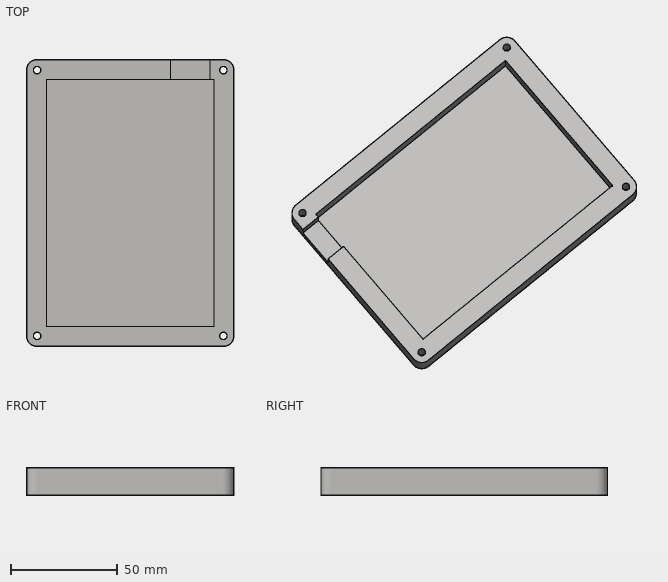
import cadquery as cq

length = 135.2
width = 97.7
height = 13.0
corner_radius = 5.0

wall = 9.5
floor_thickness = 2.0

hole_diameter = 3.4

notch_start = 19.0
notch_end = 37.6
notch_depth = 7.0


def make_body():
    body = cq.Workplane("XY").box(width, length, height, centered=(True, True, False))
    return body.edges("|Z").fillet(corner_radius)


def make_pocket():
    return (
        cq.Workplane("XY", origin=(0, 0, floor_thickness))
        .rect(width - 2 * wall, length - 2 * wall)
        .extrude(height - floor_thickness)
    )


def make_notch():
    notch_width = notch_end - notch_start
    corner = (notch_start, length / 2 - wall, height - notch_depth)
    return cq.Workplane("XY", origin=corner).box(notch_width, wall, notch_depth, centered=False)


def make_screw_holes():
    return (
        cq.Workplane("XY")
        .rect(width - 2 * corner_radius, length - 2 * corner_radius, forConstruction=True)
        .vertices()
        .circle(hole_diameter / 2)
        .extrude(height)
    )


result = make_body().cut(make_pocket()).cut(make_notch()).cut(make_screw_holes())